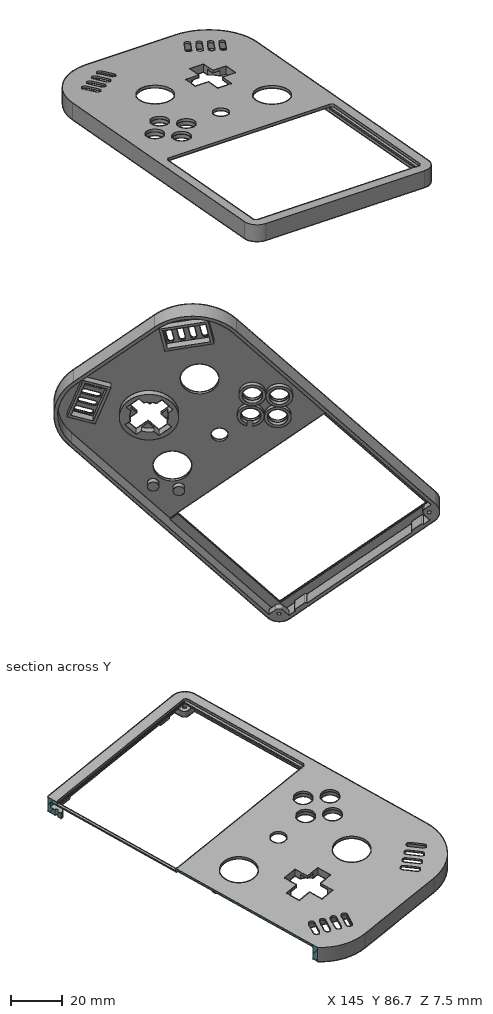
import cadquery as cq
import math

LENGTH, WIDTH, HEIGHT = 145.0, 86.65, 7.5
GRIP_RADIUS = 22.5
SCREEN_END_RADIUS = 6.0
WALL = 1.5
FACE_THICKNESS = 1.25
FACE_UNDERSIDE = HEIGHT - FACE_THICKNESS
LEFT_END, RIGHT_END = -LENGTH / 2, LENGTH / 2

WINDOW_LEFT, WINDOW_RIGHT = LEFT_END + 80.1, RIGHT_END - 4.6
WINDOW_FRONT, WINDOW_BACK = -WIDTH / 2 + 4.05, WIDTH / 2 - 4.25
WINDOW_CORNER_RADIUS = 1.4
LEDGE_THICKNESS = 0.8
LEDGE_UNDERSIDE = FACE_UNDERSIDE - LEDGE_THICKNESS
LEDGE_FRONT, LEDGE_BACK, LEDGE_RIGHT = 1.2, 1.4, 0.5

POST_INNER_X = RIGHT_END - 7.0
POST_INNER_Y = WIDTH / 2 - 7.0
POST_HEIGHT = 3.0
POST_CORNER_RADIUS = 2.1
POST_HOLE_DIAMETER = 1.4
POST_HOLE_INSET = 2.4

PAD_OFFSET_Y = 30.1
PAD_WIDTH = 6.0
PAD_PROJECTION = 0.7
PAD_CORNER_RADIUS = 0.6

STICK_DIAMETER = 15.0
STICK_CENTRES = [(-37.4, -13.2), (-11.4, 23.75)]
STICK_POST_DIAMETER = 4.5
STICK_POST_LENGTH = 2.25
STICK_POST_OFFSETS = [(1.45, 11.2), (9.7, 5.2)]
SMALL_HOLE_DIAMETER = 6.62
SMALL_HOLE_CENTRE = (-11.2, -0.4)
CROSS_CENTRE = (-37.4, 12.9)
CROSS_SPAN, CROSS_ARM = 19.0, 6.5
CROSS_RIM_DIAMETER = 23.0
CROSS_POCKET_DIAMETER = 15.0
CROSS_RIM_DEPTH = 2.4
BUTTON_RIM_DEPTH = 1.75
BUTTON_DIAMETER = 7.6
BUTTON_RIM_BORE, BUTTON_RIM_DIAMETER = 7.9, 10.4
BUTTON_CLUSTER_CENTRE = (-11.4, -24.0)
BUTTON_PITCH_RADIUS = 7.4
RIM_NOTCH_WIDTH = 2.4
RIM_NOTCH_ANGLE = 45.0

SLOT_COUNT = 4
SLOT_LENGTH, SLOT_WIDTH = 8.0, 2.5
SLOT_SPACING = 4.5
SLOT_ANGLE = 30.0
SPEAKER_CENTRE_X = -58.55
SPEAKER_CENTRE_Y = 25.1
SPEAKER_POCKET_LENGTH = 9.0
SPEAKER_POCKET_WIDTH = 17.0
SPEAKER_RIM_WALL = 1.2
SPEAKER_RIM_DEPTH = 2.65
SPEAKER_FACE_THICKNESS = 0.9


def rectangle(x_min, x_max, y_min, y_max, bottom, top):
    """Upright block between two corners and two heights."""
    block = cq.Workplane("XY").box(x_max - x_min, y_max - y_min, top - bottom, centered=False)
    return block.translate((x_min, y_min, bottom))


def shell_outline(inset, bottom, top):
    """Block with the rounded outline of the shell, shrunk evenly by an inset."""
    block = rectangle(LEFT_END + inset, RIGHT_END - inset, -WIDTH / 2 + inset, WIDTH / 2 - inset, bottom, top)
    block = block.edges("|Z and <X").fillet(GRIP_RADIUS - inset)
    return block.edges("|Z and >X").fillet(SCREEN_END_RADIUS - inset)


def cylinder(centre, diameter, bottom, top):
    """Upright cylinder between two heights."""
    return cq.Workplane("XY", origin=(*centre, bottom)).circle(diameter / 2).extrude(top - bottom)


def cross(bottom, top):
    """Upright plus-shaped block at the direction pad."""
    bars = cq.Workplane("XY").box(CROSS_SPAN, CROSS_ARM, top - bottom, centered=(True, True, False))
    bars = bars.union(cq.Workplane("XY").box(CROSS_ARM, CROSS_SPAN, top - bottom, centered=(True, True, False)))
    return bars.translate((*CROSS_CENTRE, bottom))


def button_centres():
    """Centres of the four buttons, starting at the right and going round."""
    x, y = BUTTON_CLUSTER_CENTRE
    angles = [math.radians(90 * index) for index in range(4)]
    return [(x + BUTTON_PITCH_RADIUS * math.cos(a), y + BUTTON_PITCH_RADIUS * math.sin(a)) for a in angles]


def hollow_shell():
    """Face plate with a wall round its edge."""
    return shell_outline(0, 0, HEIGHT).cut(shell_outline(WALL, 0, FACE_UNDERSIDE))


def add_window(body):
    """Cut the window and leave the ledge on three of its sides."""
    ledge = rectangle(
        WINDOW_LEFT, RIGHT_END - WALL, -WIDTH / 2 + WALL, WIDTH / 2 - WALL, LEDGE_UNDERSIDE, FACE_UNDERSIDE
    ).edges("|Z and >X").fillet(SCREEN_END_RADIUS - WALL)
    window = rectangle(WINDOW_LEFT, WINDOW_RIGHT, WINDOW_FRONT, WINDOW_BACK, FACE_UNDERSIDE, HEIGHT)
    window = window.edges("|Z").fillet(WINDOW_CORNER_RADIUS)
    opening = rectangle(
        WINDOW_LEFT,
        WINDOW_RIGHT - LEDGE_RIGHT,
        WINDOW_FRONT + LEDGE_FRONT,
        WINDOW_BACK - LEDGE_BACK,
        LEDGE_UNDERSIDE,
        HEIGHT,
    )
    return body.union(ledge).cut(window).cut(opening)


def add_posts(body):
    """Screw posts that fill the two right-hand corners of the shell."""
    post = rectangle(POST_INNER_X, RIGHT_END, POST_INNER_Y, WIDTH / 2, 0, POST_HEIGHT)
    post = post.edges("|Z and <X and <Y").fillet(POST_CORNER_RADIUS)
    post = post.intersect(shell_outline(0, 0, HEIGHT))
    hole_centre = (POST_INNER_X + POST_HOLE_INSET, POST_INNER_Y + POST_HOLE_INSET)
    post = post.cut(cylinder(hole_centre, POST_HOLE_DIAMETER, 0, POST_HEIGHT))
    return body.union(post).union(post.mirror("XZ"))


def add_wall_pads(body):
    """Two pads that thicken the right wall from the underside up to the ledge."""
    inner_x = RIGHT_END - WALL - PAD_PROJECTION
    for side in (-1, 1):
        middle = side * PAD_OFFSET_Y
        pad = rectangle(
            inner_x, RIGHT_END - WALL, middle - PAD_WIDTH / 2, middle + PAD_WIDTH / 2, 0, LEDGE_UNDERSIDE
        )
        body = body.union(pad.edges("|Z and <X").fillet(PAD_CORNER_RADIUS))
    return body


def add_direction_pad(body):
    """Cross opening with a round rim under the face, relieved by a round pocket in the middle."""
    rim_bottom = FACE_UNDERSIDE - CROSS_RIM_DEPTH
    rim = cylinder(CROSS_CENTRE, CROSS_RIM_DIAMETER, rim_bottom, FACE_UNDERSIDE)
    rim = rim.cut(cylinder(CROSS_CENTRE, CROSS_POCKET_DIAMETER, rim_bottom, FACE_UNDERSIDE))
    return body.union(rim).cut(cross(0, HEIGHT))


def add_buttons(body):
    """Four button holes with tubular rims; the back rim has a notch."""
    rim_bottom = FACE_UNDERSIDE - BUTTON_RIM_DEPTH
    for centre in button_centres():
        body = body.union(cylinder(centre, BUTTON_RIM_DIAMETER, rim_bottom, FACE_UNDERSIDE))
    for centre in button_centres():
        body = body.cut(cylinder(centre, BUTTON_RIM_BORE, 0, FACE_UNDERSIDE))
        body = body.cut(cylinder(centre, BUTTON_DIAMETER, 0, HEIGHT))
    half_notch = RIM_NOTCH_WIDTH / 2
    notch = rectangle(0, BUTTON_RIM_DIAMETER, -half_notch, half_notch, rim_bottom, FACE_UNDERSIDE)
    notch = notch.rotate((0, 0, 0), (0, 0, 1), RIM_NOTCH_ANGLE)
    back_button = button_centres()[1]
    return body.cut(notch.translate((*back_button, 0)))


def add_stick_posts(body):
    """Two short posts under the face, beside the back stick opening."""
    stick_x, stick_y = STICK_CENTRES[1]
    for offset_x, offset_y in STICK_POST_OFFSETS:
        centre = (stick_x + offset_x, stick_y + offset_y)
        post = cylinder(centre, STICK_POST_DIAMETER, FACE_UNDERSIDE - STICK_POST_LENGTH, FACE_UNDERSIDE)
        body = body.union(post)
    return body


def cut_round_openings(body):
    """Two stick openings and one small hole, straight through the face."""
    for centre in STICK_CENTRES:
        body = body.cut(cylinder(centre, STICK_DIAMETER, 0, HEIGHT))
    return body.cut(cylinder(SMALL_HOLE_CENTRE, SMALL_HOLE_DIAMETER, 0, HEIGHT))


def add_speakers(body):
    """Slot groups in the two grip corners, each in a rimmed pocket that thins the face."""
    rim_bottom = FACE_UNDERSIDE - SPEAKER_RIM_DEPTH
    pocket_depth = HEIGHT - SPEAKER_FACE_THICKNESS - rim_bottom
    for side in (-1, 1):
        plane = cq.Workplane("XY").transformed(
            offset=(SPEAKER_CENTRE_X, side * SPEAKER_CENTRE_Y, rim_bottom), rotate=(0, 0, -side * SLOT_ANGLE)
        )
        rim = plane.rect(
            SPEAKER_POCKET_LENGTH + 2 * SPEAKER_RIM_WALL, SPEAKER_POCKET_WIDTH + 2 * SPEAKER_RIM_WALL
        ).rect(SPEAKER_POCKET_LENGTH, SPEAKER_POCKET_WIDTH).extrude(SPEAKER_RIM_DEPTH)
        slots = plane.rarray(1, SLOT_SPACING, 1, SLOT_COUNT).slot2D(SLOT_LENGTH, SLOT_WIDTH).extrude(HEIGHT)
        pocket = plane.rect(SPEAKER_POCKET_LENGTH, SPEAKER_POCKET_WIDTH).extrude(pocket_depth)
        body = body.union(rim).cut(pocket).cut(slots)
    return body


result = hollow_shell()
result = add_window(result)
result = add_posts(result)
result = add_wall_pads(result)
result = add_direction_pad(result)
result = add_buttons(result)
result = add_stick_posts(result)
result = cut_round_openings(result)
result = add_speakers(result)